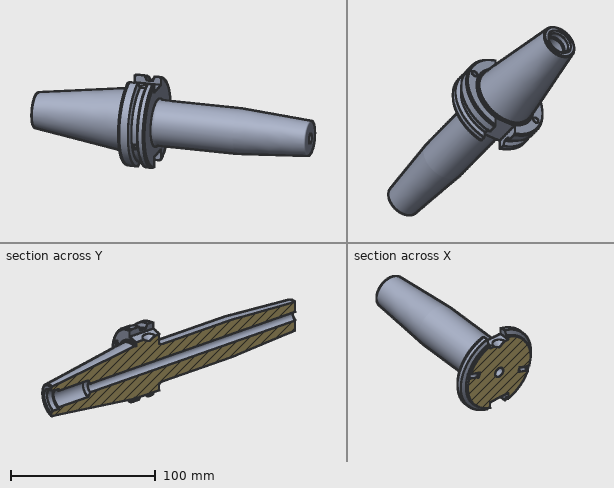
import cadquery as cq
import math

total_length = 198.2
flange_start = 68.5
flange_end = 87.8
nose_start = 147.1

taper_ratio = 7 / 24
gauge_radius = 22.5
relief_radius = 43.8 / 2
relief_width = 0.8
face_relief_radius = 23.4
face_relief_depth = 0.5
taper_end = flange_start - relief_width
small_end_radius = gauge_radius - taper_end * taper_ratio / 2
taper_chamfer = 0.5

flange_radius = 31.62
flange_chamfer_length = 1.2
flange_chamfer_depth = 0.8
groove_center = 79.5
groove_floor_radius = 28.3
groove_floor_width = 4.0
groove_top_width = 7.1

shank_radius = 32.0 / 2
shank_fillet_radius = 4.0
shank_fillet_length = 2.5
nose_end_radius = 12.3
nose_fillet = 1.0

mouth_radius = 9.3
mouth_depth = 1.5
counterbore_radius = 16.3 / 2
counterbore_depth = 6.0
thread_radius = 13.5 / 2
thread_depth = 29.7
through_radius = 7.0 / 2
drill_half_angle = math.radians(59)

slot_width = 15.9
upper_slot_floor = 25.0
lower_slot_floor = 22.5
dimple_radius = 9.5 / 2

coolant_angle = 20.0
coolant_face_radius = 26.8
coolant_diameter = 4.0
coolant_tilt = math.radians(35)
groove_hole_diameter = 3.2
groove_hole_mouth_diameter = 4.2
groove_hole_mouth_depth = 1.2
coolant_run = groove_center - flange_start
coolant_meeting_radius = coolant_face_radius - coolant_run * math.tan(coolant_tilt)


def revolve_about_x(profile):
    return profile.close().revolve(360, (0, 0, 0), (1, 0, 0))


def make_body():
    """Revolve the taper, flange, shank and nose as one outline."""
    chamfered_radius = flange_radius - flange_chamfer_depth
    groove_floor_half = groove_floor_width / 2
    groove_top_half = groove_top_width / 2
    shank_start = flange_end + shank_fillet_length
    fillet_center_radius = shank_radius + shank_fillet_radius

    def fillet_point(distance):
        """Point on the concave fillet, at a distance before the shank."""
        rise = math.sqrt(shank_fillet_radius**2 - distance**2)
        return (shank_start - distance, fillet_center_radius - rise)

    profile = (
        cq.Workplane("XY")
        .moveTo(0, 0)
        .lineTo(0, small_end_radius - taper_chamfer)
        .lineTo(taper_chamfer, small_end_radius + taper_chamfer * taper_ratio / 2)
        .lineTo(taper_end, gauge_radius)
        .lineTo(taper_end, relief_radius)
        .lineTo(flange_start + face_relief_depth, relief_radius)
        .lineTo(flange_start + face_relief_depth, face_relief_radius)
        .lineTo(flange_start, face_relief_radius)
        .lineTo(flange_start, chamfered_radius)
        .lineTo(flange_start + flange_chamfer_length, flange_radius)
        .lineTo(groove_center - groove_top_half, flange_radius)
        .lineTo(groove_center - groove_floor_half, groove_floor_radius)
        .lineTo(groove_center + groove_floor_half, groove_floor_radius)
        .lineTo(groove_center + groove_top_half, flange_radius)
        .lineTo(flange_end - flange_chamfer_length, flange_radius)
        .lineTo(flange_end, chamfered_radius)
        .lineTo(*fillet_point(shank_fillet_length))
        .threePointArc(fillet_point(shank_fillet_length / 2), (shank_start, shank_radius))
        .lineTo(nose_start, shank_radius)
        .lineTo(total_length, nose_end_radius)
        .lineTo(total_length, 0)
    )
    return revolve_about_x(profile).faces(">X").edges().fillet(nose_fillet)


def make_bore():
    """Chamfered counterbore and thread bore, ending in a cone to the through hole."""
    cone_length = (thread_radius - through_radius) / math.tan(drill_half_angle)
    profile = (
        cq.Workplane("XY")
        .moveTo(0, 0)
        .lineTo(0, mouth_radius)
        .lineTo(mouth_depth, counterbore_radius)
        .lineTo(counterbore_depth, counterbore_radius)
        .lineTo(counterbore_depth, thread_radius)
        .lineTo(thread_depth, thread_radius)
        .lineTo(thread_depth + cone_length, through_radius)
        .lineTo(total_length, through_radius)
        .lineTo(total_length, 0)
    )
    return revolve_about_x(profile)


def make_slot(floor, side):
    """Driving slot across the flange; side is +1 for the top and -1 for the bottom."""
    height = flange_radius - floor
    return cq.Workplane("XY").box(
        flange_end - flange_start, slot_width, height, centered=(False, True, False)
    ).translate((flange_start, 0, floor if side > 0 else -flange_radius))


def make_dimple():
    depth = dimple_radius / math.tan(drill_half_angle)
    return cq.Workplane(
        cq.Solid.makeCone(
            dimple_radius,
            0,
            depth,
            cq.Vector(groove_center, 0, upper_slot_floor),
            cq.Vector(0, 0, -1),
        )
    )


def drill(start, direction, diameter, depth):
    return cq.Workplane(
        cq.Solid.makeCylinder(diameter / 2, depth, cq.Vector(*start), cq.Vector(*direction))
    )


def make_coolant_channel():
    """Channel on the +Y side: tilted hole from the flange face, radial hole from the groove."""
    tilted_direction = (math.cos(coolant_tilt), -math.sin(coolant_tilt), 0)
    lead_in = coolant_diameter
    tilted_start = (
        flange_start - lead_in * tilted_direction[0],
        coolant_face_radius - lead_in * tilted_direction[1],
        0,
    )
    tilted_length = lead_in + coolant_run / math.cos(coolant_tilt)
    tilted_hole = drill(tilted_start, tilted_direction, coolant_diameter, tilted_length)

    groove_start = (groove_center, flange_radius, 0)
    inward = (0, -1, 0)
    radial_depth = flange_radius - coolant_meeting_radius
    mouth_length = flange_radius - groove_floor_radius + groove_hole_mouth_depth
    radial_hole = drill(groove_start, inward, groove_hole_diameter, radial_depth)
    radial_mouth = drill(groove_start, inward, groove_hole_mouth_diameter, mouth_length)
    return tilted_hole.union(radial_hole).union(radial_mouth)


result = make_body().cut(make_bore())
result = result.cut(make_slot(upper_slot_floor, 1)).cut(make_slot(lower_slot_floor, -1))
result = result.cut(make_dimple())
for half_turn in (0, 180):
    channel = make_coolant_channel().rotate((0, 0, 0), (1, 0, 0), coolant_angle + half_turn)
    result = result.cut(channel)